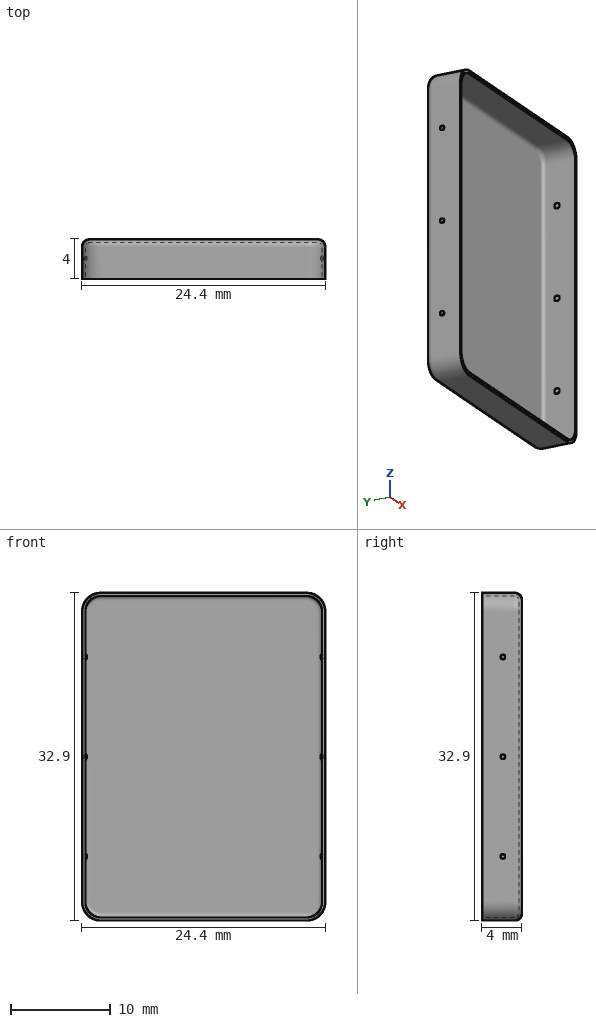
import cadquery as cq
import math

width = 24.4
depth = 4.0
height = 32.9
wall = 0.33
corner_radius = 1.9
floor_edge_radius = 0.8

dent_radius = 0.23
bump_radius = 0.3
bump_height = 0.15
dimple_pitch = 10.0
dimples_per_side = 3
dimple_y = 2.07


def rounded_block(inset, front_y, back_y):
    """Block inset from the tray outline, with rounded corners and back edge."""
    block = (
        cq.Workplane("XY")
        .box(width - 2 * inset, back_y - front_y, height - 2 * inset)
        .translate((0, (front_y + back_y) / 2, 0))
    )
    block = block.edges("|Y").fillet(corner_radius - inset)
    return block.faces(">Y").edges().fillet(floor_edge_radius - inset)


def inward_dome(side, base_x, base_radius, dome_height, z):
    """Dome standing toward the center from a side plane at distance base_x."""
    sphere_radius = (base_radius**2 + dome_height**2) / (2 * dome_height)
    arc_x = base_radius / 2
    arc_y = math.sqrt(sphere_radius**2 - arc_x**2) - (sphere_radius - dome_height)
    dome = (
        cq.Workplane("XY")
        .moveTo(0, 0)
        .lineTo(base_radius, 0)
        .threePointArc((arc_x, arc_y), (0, dome_height))
        .close()
        .revolve(360, (0, 0, 0), (0, 1, 0))
    )
    turned = dome.rotate((0, 0, 0), (0, 0, 1), side * 90)
    return turned.translate((side * base_x, dimple_y, z))


def add_dimple(body, side, z):
    """Raise a bump on the inner wall face and sink a dent in the outer face."""
    bump = inward_dome(side, width / 2 - wall, bump_radius, bump_height, z)
    dent = inward_dome(side, width / 2, dent_radius, dent_radius, z)
    return body.union(bump).cut(dent)


outer = rounded_block(0, 0, depth)
cavity = rounded_block(wall, 0, depth - wall)
result = outer.cut(cavity)

for side in (-1, 1):
    for index in range(dimples_per_side):
        z = (index - (dimples_per_side - 1) / 2) * dimple_pitch
        result = add_dimple(result, side, z)